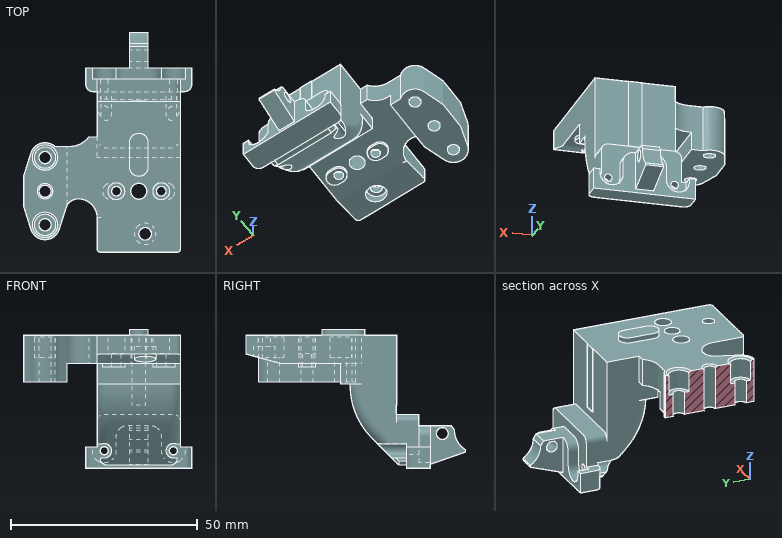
import cadquery as cq
import math


body_width = 22.36
half_width = body_width / 2
plate_front = -16.37
overall_length = 58.84
plate_corner_radius = 1.0
front_edge_thickness = 5.1
plate_thickness = 7.65
underside_angle = 15.0
step_front = 9.0
step_bottom = -13.15
leg_front = 11.5
bend_start = -13.45
bend_radius = 20.0
bend_angle = 45.0
leg_edge_radius = 3.0
body_back = 23.95
leg_bottom = -34.8
toe_width = 20.4
toe_corner_run = 1.5
toe_corner_rise = 1.1
toe_corner_bulge = 0.17

block_back = 29.95
block_top = -21.2
block_edge_radius = 2.0

strip_width = 3.7
strip_height = 18.7
strip_thickness = 0.15

foot_width = 28.4
foot_front = 26.6
foot_back = 33.0
foot_top = -29.9
foot_bottom = -35.67
foot_corner_radius = 2.0
foot_screw_x = 9.25
foot_screw_z = -30.95
foot_hole_diameter = 2.1
foot_head_diameter = 6.4
foot_access_diameter = 3.9
channel_top = -29.2

lug_width = 2 * foot_screw_x - foot_head_diameter
lug_top = -24.2
lug_edge_radius = 3.0
arm_width = 5.0
arm_root_bottom = -34.6
arm_flat_end = 38.65
arm_throat_y = 39.5
arm_throat_z = -25.5
arm_throat_radius = 6.0
arm_throat_end = 42.3
arm_tip_y = plate_front + overall_length
arm_tip_top = -30.75
arm_tip_bottom = -31.3
arm_hole_y = 36.2
arm_hole_z = -26.35
arm_hole_diameter = 3.1

key_width = 5.0
key_back = 15.5
key_front = 4.0
key_height = 1.5

center_hole_diameter = 4.2
side_hole_spacing = 12.0
side_hole_diameter = 2.5
side_bore_diameter = 4.5
side_bore_depth = 5.0
boss_bottom = -8.55
boss_stretch = 1.4
front_hole_x = 1.7
front_hole_y = -11.4
front_hole_diameter = 3.3
front_bore_diameter = 5.7
front_bore_top = -3.0

wing_left = -30.81
wing_flat_half = 4.1
wing_thickness = 12.6
wing_step_x = -19.2
wing_hole_x = -25.08
wing_hole_pitch = 9.0
wing_lobe_radius = 4.0
wing_hole_diameter = 3.2
wing_bore_diameter = 5.7
wing_bore_depth = 6.0
wing_bore_rim_diameter = 6.8
wing_hole_rim_diameter = 4.15
wing_back_y = 12.0
shoulder_y = 14.55
shoulder_x = -13.35
shoulder_arc_start_x = -18.45
notch_top_y = -2.08
notch_wall_radius = 5.0
notch_wing_radius = 3.5

OVERLAP = 1.0
PICK_SLACK = 0.1


def box(x0, x1, y0, y1, z0, z1):
    """Axis-aligned box between two opposite corners."""
    return cq.Workplane("XY").box(x1 - x0, y1 - y0, z1 - z0, centered=False).translate((x0, y0, z0))


def post(x, y, diameter, z0, z1):
    """Vertical cylinder between two heights."""
    return cq.Workplane("XY", origin=(x, y, z0)).circle(diameter / 2).extrude(z1 - z0)


def rod(x, z, diameter, y0, y1):
    """Cylinder along Y between two depths."""
    return cq.Workplane("XZ", origin=(x, y0, z)).circle(diameter / 2).extrude(y0 - y1)


def rim_chamfer(x, y, rim_diameter, hole_diameter):
    """45-degree cone that breaks the top edge of a hole."""
    depth = (rim_diameter - hole_diameter) / 2
    plane = cq.Workplane("XY", origin=(x, y, 0))
    return plane.circle(rim_diameter / 2).workplane(offset=-depth).circle(hole_diameter / 2).loft()


def tangent_point(point, center, radius, side):
    """Point where a line from `point` touches a circle; `side` (+1 or -1) picks one of the two."""
    dx = point[0] - center[0]
    dy = point[1] - center[1]
    angle = math.atan2(dy, dx) + side * math.acos(radius / math.hypot(dx, dy))
    return (center[0] + radius * math.cos(angle), center[1] + radius * math.sin(angle))


def circle_point(center, radius, angle):
    """Point on a circle at an angle in degrees."""
    turn = math.radians(angle)
    return (center[0] + radius * math.cos(turn), center[1] + radius * math.sin(turn))


def arc_midpoint(center, radius, angle_a, angle_b):
    """Middle of the arc between two angles in degrees."""
    return circle_point(center, radius, (angle_a + angle_b) / 2)


def across_width(sketch, width):
    """Extrude a YZ outline symmetrically about X = 0."""
    return sketch.extrude(width / 2, both=True)


def make_plate():
    slope_run = (plate_thickness - front_edge_thickness) / math.tan(math.radians(underside_angle))
    outline = (
        cq.Workplane("YZ")
        .moveTo(plate_front, 0)
        .lineTo(body_back, 0)
        .lineTo(body_back, step_bottom)
        .lineTo(step_front, step_bottom)
        .lineTo(step_front, -plate_thickness)
        .lineTo(plate_front + slope_run, -plate_thickness)
        .lineTo(plate_front, -front_edge_thickness)
        .close()
    )
    return across_width(outline, body_width).edges("|Z and <Y").fillet(plate_corner_radius)


def make_leg():
    bend_center = (leg_front + bend_radius, bend_start)
    bend_end_angle = 180 + bend_angle
    bend_middle = arc_midpoint(bend_center, bend_radius, 180, bend_end_angle)
    bend_end = circle_point(bend_center, bend_radius, bend_end_angle)
    toe_y = bend_end[0] + (bend_end[1] - leg_bottom) / math.tan(math.radians(bend_angle))
    outline = (
        cq.Workplane("YZ")
        .moveTo(block_back, step_bottom)
        .lineTo(leg_front, step_bottom)
        .lineTo(leg_front, bend_start)
        .threePointArc(bend_middle, bend_end)
        .lineTo(toe_y, leg_bottom)
        .lineTo(block_back, leg_bottom)
        .close()
    )
    front_edges = cq.selectors.BoxSelector(
        (-body_width, leg_front - OVERLAP, leg_bottom - OVERLAP),
        (body_width, toe_y - OVERLAP, step_bottom - PICK_SLACK),
    )
    leg = across_width(outline, body_width).edges("not |X").edges(front_edges).fillet(leg_edge_radius)
    above_block = box(-half_width, half_width, body_back, block_back, block_top, step_bottom)
    leg = leg.cut(above_block)
    block_edges = cq.selectors.BoxSelector(
        (-body_width, body_back + OVERLAP, block_top - PICK_SLACK),
        (body_width, block_back - OVERLAP, block_top + PICK_SLACK),
    )
    return leg.edges("|Y").edges(block_edges).fillet(block_edge_radius)


def make_toe_trim():
    """Material removed from the leg below the driver channels, leaving a narrower rounded toe."""
    toe_top = foot_screw_z - foot_access_diameter / 2
    toe_half = toe_width / 2
    toe_flat_half = toe_half - toe_corner_run
    corner_z = leg_bottom + toe_corner_rise
    trim = box(-half_width, half_width, leg_front, foot_front, leg_bottom, toe_top)
    toe = (
        cq.Workplane("XZ", origin=(0, leg_front, 0))
        .moveTo(-toe_half, toe_top)
        .lineTo(-toe_half, corner_z)
        .sagittaArc((-toe_flat_half, leg_bottom), -toe_corner_bulge)
        .lineTo(toe_flat_half, leg_bottom)
        .sagittaArc((toe_half, corner_z), -toe_corner_bulge)
        .lineTo(toe_half, toe_top)
        .close()
        .extrude(leg_front - foot_front)
    )
    return trim.cut(toe)


def make_strip():
    back = body_back + strip_thickness
    return box(-strip_width / 2, strip_width / 2, body_back - OVERLAP, back, -strip_height, 0)


def make_foot():
    half_foot = foot_width / 2
    foot = box(-half_foot, half_foot, foot_front, foot_back, foot_bottom, foot_top)
    foot = foot.edges("|Z and <Y").fillet(foot_corner_radius)
    lug = box(-lug_width / 2, lug_width / 2, block_back - OVERLAP, foot_back, foot_bottom, lug_top)
    lug = lug.edges("|Y and >Z").fillet(lug_edge_radius)
    return foot.union(lug)


def cut_foot_screws(body):
    """Through holes with open-topped head seats at the back and driver channels at the front."""
    head_radius = foot_head_diameter / 2
    access_radius = foot_access_diameter / 2
    for side in (-1, 1):
        x = side * foot_screw_x
        body = body.cut(rod(x, foot_screw_z, foot_hole_diameter, leg_front, foot_back))
        body = body.cut(rod(x, foot_screw_z, foot_access_diameter, leg_front, foot_front))
        channel_edges = sorted((x, side * half_width))
        channel_floor = foot_screw_z - access_radius
        body = body.cut(box(*channel_edges, leg_front, foot_front, channel_floor, channel_top))
        body = body.cut(rod(x, foot_screw_z, foot_head_diameter, block_back, foot_back))
        body = body.cut(box(x - head_radius, x + head_radius, block_back, foot_back, foot_screw_z, foot_top))
    return body


def make_arm():
    throat_center = (arm_throat_y + arm_throat_radius, arm_throat_z)
    throat_end_angle = 180 + math.degrees(
        math.acos((throat_center[0] - arm_throat_end) / arm_throat_radius)
    )
    throat_middle = arc_midpoint(throat_center, arm_throat_radius, 180, throat_end_angle)
    throat_end = circle_point(throat_center, arm_throat_radius, throat_end_angle)
    outline = (
        cq.Workplane("YZ")
        .moveTo(foot_back - OVERLAP, lug_top)
        .lineTo(arm_flat_end, lug_top)
        .lineTo(arm_throat_y, arm_throat_z)
        .threePointArc(throat_middle, throat_end)
        .lineTo(arm_tip_y, arm_tip_top)
        .lineTo(arm_tip_y, arm_tip_bottom)
        .lineTo(foot_back, arm_root_bottom)
        .lineTo(foot_back - OVERLAP, arm_root_bottom)
        .close()
    )
    hole = cq.Workplane("YZ").center(arm_hole_y, arm_hole_z).circle(arm_hole_diameter / 2)
    return across_width(outline, arm_width).cut(across_width(hole, arm_width))


def make_wing():
    upper_lobe = (wing_hole_x, wing_hole_pitch)
    lower_lobe = (wing_hole_x, -wing_hole_pitch)
    lobe_back = (
        wing_hole_x + math.sqrt(wing_lobe_radius**2 - (wing_back_y - wing_hole_pitch) ** 2),
        wing_back_y,
    )
    upper_touch = tangent_point((wing_left, wing_flat_half), upper_lobe, wing_lobe_radius, -1)
    lower_touch = tangent_point((wing_left, -wing_flat_half), lower_lobe, wing_lobe_radius, 1)

    notch_x = -half_width - notch_wall_radius
    notch_wing_run = notch_x - wing_step_x
    notch_wing_center = (notch_x, notch_top_y - notch_wing_radius)
    notch_wing_angle = math.degrees(math.acos(-notch_wing_run / notch_wing_radius))
    notch_corner = circle_point(notch_wing_center, notch_wing_radius, notch_wing_angle)
    notch_wing_middle = arc_midpoint(notch_wing_center, notch_wing_radius, 90, notch_wing_angle)
    notch_wall_center = (notch_x, notch_top_y - notch_wall_radius)
    notch_wall_middle = arc_midpoint(notch_wall_center, notch_wall_radius, 0, 90)
    inner_touch = tangent_point(notch_corner, lower_lobe, wing_lobe_radius, -1)

    shoulder_run = shoulder_x - shoulder_arc_start_x
    shoulder_rise = shoulder_y - wing_back_y
    shoulder_radius = (shoulder_run**2 + shoulder_rise**2) / (2 * shoulder_rise)
    shoulder_center = (shoulder_arc_start_x, wing_back_y + shoulder_radius)
    shoulder_angle = math.degrees(math.asin(shoulder_run / shoulder_radius)) - 90
    shoulder_middle = arc_midpoint(shoulder_center, shoulder_radius, -90, shoulder_angle)

    outline = (
        cq.Workplane("XY")
        .moveTo(-half_width + OVERLAP, shoulder_y)
        .lineTo(shoulder_x, shoulder_y)
        .threePointArc(shoulder_middle, (shoulder_arc_start_x, wing_back_y))
        .lineTo(*lobe_back)
        .threePointArc((wing_hole_x, wing_hole_pitch + wing_lobe_radius), upper_touch)
        .lineTo(wing_left, wing_flat_half)
        .lineTo(wing_left, -wing_flat_half)
        .lineTo(*lower_touch)
        .threePointArc((wing_hole_x, -wing_hole_pitch - wing_lobe_radius), inner_touch)
        .lineTo(*notch_corner)
        .threePointArc(notch_wing_middle, (notch_x, notch_top_y))
        .threePointArc(notch_wall_middle, (-half_width, notch_wall_center[1]))
        .lineTo(-half_width + OVERLAP, notch_wall_center[1])
        .close()
    )
    wing = outline.extrude(-wing_thickness)
    under_bridge = box(wing_step_x, 0, plate_front, body_back, -wing_thickness, -plate_thickness)
    return wing.cut(under_bridge)


def cut_wing_holes(body):
    for y in (-wing_hole_pitch, 0, wing_hole_pitch):
        body = body.cut(post(wing_hole_x, y, wing_hole_diameter, -wing_thickness, 0))
    for y in (-wing_hole_pitch, wing_hole_pitch):
        body = body.cut(post(wing_hole_x, y, wing_bore_diameter, -wing_bore_depth, 0))
        body = body.cut(rim_chamfer(wing_hole_x, y, wing_bore_rim_diameter, wing_bore_diameter))
    return body.cut(rim_chamfer(wing_hole_x, 0, wing_hole_rim_diameter, wing_hole_diameter))


def make_key():
    length = key_back - key_front
    plane = cq.Workplane("XY").center(0, (key_back + key_front) / 2)
    return plane.slot2D(length, key_width, 90).extrude(key_height)


def make_bosses():
    """Oblong bosses under the two side holes, stretched outwards."""
    boss_x = side_hole_spacing / 2 + boss_stretch / 2
    plane = cq.Workplane("XY", origin=(0, 0, boss_bottom)).pushPoints([(-boss_x, 0), (boss_x, 0)])
    height = -OVERLAP - boss_bottom
    return plane.slot2D(side_bore_diameter + boss_stretch, side_bore_diameter).extrude(height)


def cut_plate_holes(body):
    body = body.cut(post(0, 0, center_hole_diameter, -plate_thickness, 0))
    for x in (-side_hole_spacing / 2, side_hole_spacing / 2):
        body = body.cut(post(x, 0, side_hole_diameter, boss_bottom, 0))
        body = body.cut(post(x, 0, side_bore_diameter, -side_bore_depth, 0))
    body = body.cut(post(front_hole_x, front_hole_y, front_hole_diameter, -plate_thickness, 0))
    return body.cut(post(front_hole_x, front_hole_y, front_bore_diameter, -plate_thickness, front_bore_top))


body = make_plate().union(make_leg().cut(make_toe_trim())).union(make_foot())
body = cut_foot_screws(body)
for feature in (make_strip(), make_arm(), make_wing(), make_key(), make_bosses()):
    body = body.union(feature)
body = cut_wing_holes(body)
result = cut_plate_holes(body)